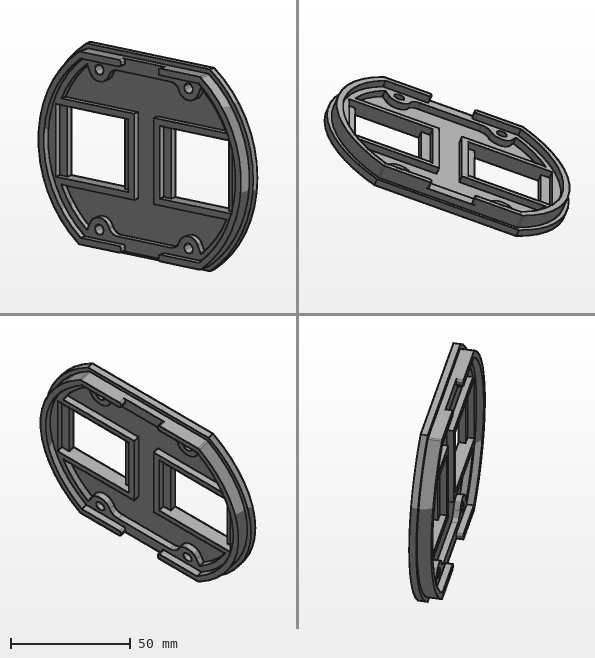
import cadquery as cq
import math

flange_depth = 3.0
total_depth = 9.0
ledge_depth = 6.0
floor_depth = 3.0
window_step_depth = 3.0

flange_radius = 54.3
flange_flat = 44.0
rim_radius = 52.3
rim_flat = 42.0
rim_corner_fillet = 1.3
rim_inner_radius = 49.5
rim_inner_flat = 39.1
pocket_radius = 46.6
pocket_flat = 36.2

gap_half_width = 9.8
gap_end_radius = 1.0

boss_x = 23.0
boss_z = 34.9
boss_radius = 5.2
boss_fillet = 4.8
hole_radius = 2.2

window_x = 26.8
window_height = 31.7
window_width = 29.8
window_recess_width = 37.6
frame_wall = 2.9


def front_plane(depth=0):
    """XZ sketch plane at the given distance in front of the flange back."""
    return cq.Workplane("XZ", origin=(0, -depth, 0))


def flat_disc(radius, flat, start, end):
    """Disc with two flats, between two depths."""
    half_chord = math.sqrt(radius**2 - flat**2)
    return (
        front_plane(start)
        .moveTo(-half_chord, flat)
        .lineTo(half_chord, flat)
        .threePointArc((radius, 0), (half_chord, -flat))
        .lineTo(-half_chord, -flat)
        .threePointArc((-radius, 0), (-half_chord, flat))
        .close()
        .extrude(end - start)
    )


def block(x, z, width, height, start, end):
    """Rectangular block centred at (x, z), between two depths."""
    return front_plane(start).center(x, z).rect(width, height).extrude(end - start)


def boss():
    """Upper right boss: a round lobe blended into the pocket's edge."""
    corner_x = math.sqrt(pocket_radius**2 - pocket_flat**2)
    to_corner_x = corner_x - boss_x
    to_corner_z = pocket_flat - boss_z
    corner_distance = math.hypot(to_corner_x, to_corner_z)
    flank_angle = math.atan2(to_corner_z, to_corner_x) - math.acos(boss_radius / corner_distance)
    flank_x = boss_x + boss_radius * math.cos(flank_angle)
    flank_z = boss_z + boss_radius * math.sin(flank_angle)

    fillet_z = pocket_flat - boss_fillet
    centre_distance = boss_radius + boss_fillet
    fillet_x = boss_x - math.sqrt(centre_distance**2 - (boss_z - fillet_z) ** 2)
    lobe_share = boss_radius / centre_distance
    blend_x = boss_x + (fillet_x - boss_x) * lobe_share
    blend_z = boss_z + (fillet_z - boss_z) * lobe_share
    blend_angle = math.atan2(blend_z - fillet_z, blend_x - fillet_x)
    middle_angle = (blend_angle + math.pi / 2) / 2
    fillet_middle = (
        fillet_x + boss_fillet * math.cos(middle_angle),
        fillet_z + boss_fillet * math.sin(middle_angle),
    )
    return (
        front_plane(floor_depth)
        .moveTo(corner_x, pocket_flat)
        .lineTo(flank_x, flank_z)
        .threePointArc((boss_x, boss_z - boss_radius), (blend_x, blend_z))
        .threePointArc(fillet_middle, (fillet_x, pocket_flat))
        .close()
        .extrude(ledge_depth - floor_depth)
    )


rim = flat_disc(rim_radius, rim_flat, flange_depth, total_depth)
rim = rim.edges("|Y").fillet(rim_corner_fillet)
rim = rim.cut(flat_disc(rim_inner_radius, rim_inner_flat, ledge_depth, total_depth))

rim = rim.cut(block(0, 0, 2 * gap_half_width, 2 * flange_flat, ledge_depth, total_depth))
gap_end_reach = gap_half_width + gap_end_radius
gap_ends = cq.selectors.BoxSelector(
    (-gap_end_reach, -total_depth, -flange_flat),
    (gap_end_reach, -ledge_depth, flange_flat),
)
rim = rim.edges("|Y").edges(gap_ends).fillet(gap_end_radius)

pocket = flat_disc(pocket_radius, pocket_flat, floor_depth, ledge_depth)
for side in (-1, 1):
    pocket = pocket.cut(
        block(
            side * window_x,
            0,
            window_recess_width + 2 * frame_wall,
            window_height + 2 * frame_wall,
            floor_depth,
            ledge_depth,
        )
    )
right_bosses = boss().union(boss().mirror("XY"))
pocket = pocket.cut(right_bosses).cut(right_bosses.mirror("YZ"))

result = flat_disc(flange_radius, flange_flat, 0, flange_depth).union(rim).cut(pocket)

for side in (-1, 1):
    opening = block(side * window_x, 0, window_width, window_height, 0, total_depth)
    recess = block(
        side * window_x, 0, window_recess_width, window_height, window_step_depth, total_depth
    )
    result = result.cut(opening).cut(recess)

screw_holes = (
    front_plane()
    .rect(2 * boss_x, 2 * boss_z, forConstruction=True)
    .vertices()
    .circle(hole_radius)
    .extrude(total_depth)
)
result = result.cut(screw_holes)